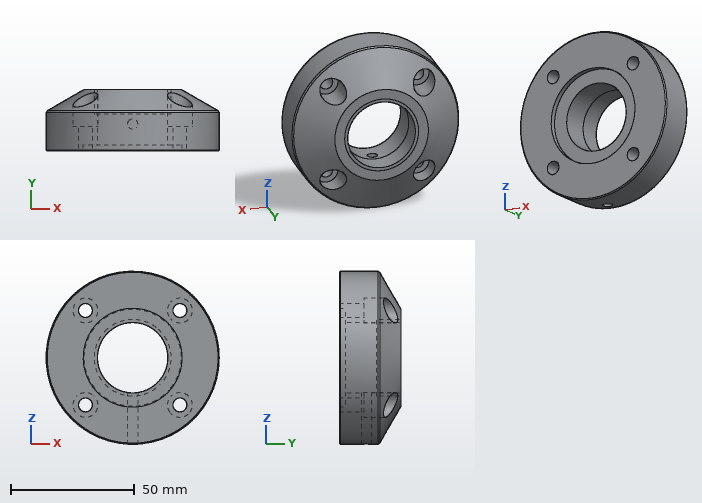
import cadquery as cq
import math

outer_diameter = 70.0
total_depth = 25.0
back_face_diameter = 39.2
cone_angle = 30.0
edge_chamfer = 0.5

bore_diameter = 28.35
recess_diameter = 40.0
recess_depth = 2.5
sleeve_diameter = 31.0
sleeve_length = 10.0

bolt_spacing = 38.15
bolt_hole_diameter = 5.5
counterbore_diameter = 10.0
counterbore_floor = 10.0

radial_hole_diameter = 4.1
radial_hole_depth = 11.0

outer_radius = outer_diameter / 2
back_face_radius = back_face_diameter / 2
cone_depth = (outer_radius - back_face_radius) * math.tan(math.radians(cone_angle))
shoulder_depth = total_depth - cone_depth
sleeve_start = total_depth - sleeve_length
front_y = -total_depth / 2


def cylinder_along_y(diameter, start, length, x=0.0, z=0.0):
    """Cylinder running back from a distance 'start' behind the front face."""
    origin = cq.Vector(x, front_y + start, z)
    return cq.Workplane(cq.Solid.makeCylinder(diameter / 2, length, origin, cq.Vector(0, 1, 0)))


def radial_hole_cutter():
    """Cylinder from the part axis straight down through the rim."""
    origin = cq.Vector(0, front_y + radial_hole_depth, 0)
    down = cq.Vector(0, 0, -1)
    return cq.Workplane(cq.Solid.makeCylinder(radial_hole_diameter / 2, outer_radius, origin, down))


def make_disc():
    """Solid disc with a conical back and chamfered rim edges."""
    front_rim_radius = outer_radius - edge_chamfer
    profile = [
        (0, 0),
        (front_rim_radius, 0),
        (outer_radius, edge_chamfer),
        (outer_radius, shoulder_depth - edge_chamfer),
        (outer_radius - edge_chamfer, shoulder_depth + edge_chamfer * math.tan(math.radians(cone_angle))),
        (back_face_radius, total_depth),
        (0, total_depth),
    ]
    disc = cq.Workplane("XY").polyline(profile).close().revolve(360, (0, 0, 0), (0, 1, 0))
    return disc.translate((0, front_y, 0))


def make_housing():
    """Disc with the front recess, through bore, sleeve seat, four counterbored holes and radial hole."""
    housing = make_disc()
    housing = housing.cut(cylinder_along_y(bore_diameter, 0, total_depth))
    housing = housing.cut(cylinder_along_y(recess_diameter, 0, recess_depth))
    housing = housing.cut(cylinder_along_y(sleeve_diameter, sleeve_start, sleeve_length))
    half_spacing = bolt_spacing / 2
    for x in (-half_spacing, half_spacing):
        for z in (-half_spacing, half_spacing):
            housing = housing.cut(cylinder_along_y(bolt_hole_diameter, 0, total_depth, x, z))
            counterbore_length = total_depth - counterbore_floor
            counterbore = cylinder_along_y(
                counterbore_diameter, counterbore_floor, counterbore_length, x, z
            )
            housing = housing.cut(counterbore)
    return housing.cut(radial_hole_cutter())


def make_sleeve():
    """Plain ring that fills the rear seat, flush with the bore and the back face."""
    sleeve = cylinder_along_y(sleeve_diameter, sleeve_start, sleeve_length)
    return sleeve.cut(cylinder_along_y(bore_diameter, sleeve_start, sleeve_length))


housing = make_housing()
sleeve = make_sleeve()
result = cq.Compound.makeCompound([housing.val(), sleeve.val()])